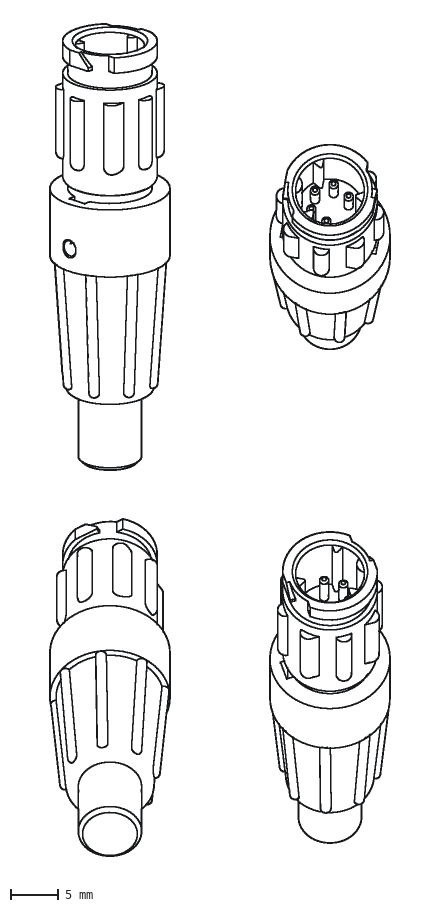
import cadquery as cq
import math


CABLE_CHAMFER = 0.45
SLEEVE_BOTTOM_Z = 8.0
SLEEVE_RIB_END_Z = 9.4
COLLAR_BOTTOM_Z = 23.2
TAPER_TOP_Z = 25.75
COLLAR_TOP_Z = 30.8
HEAD_BOTTOM_Z = 31.7
HEAD_RIB_END_Z = 35.1
HEAD_RIB_TOP_Z = 42.35
HEAD_TOP_Z = 43.85
FLANGE_BOTTOM_Z = 45.75
TOP_Z = 47.5

CABLE_RADIUS = 3.35
NECK_RADIUS = 4.45
TAPER_HALF_ANGLE = 30
HEAD_RADIUS = 5.0
HEAD_FILLET = 0.55

COLLAR_RADIUS = 6.35
CONE_TOP_RADIUS = 5.7
CONE_BOTTOM_RADIUS = 4.65
CONE_FILLET = 0.45
SLEEVE_RIB_COUNT = 8
SLEEVE_RIB_RADIUS = 0.57
RIB_AXIS_TOP_RADIUS = 5.75
RIB_AXIS_BOTTOM_RADIUS = 4.79
RIB_OVERLAP = 0.2
KEYWAY_WIDTH = 2.2
KEYWAY_REACH = 5.13
SCREW_HOLE_RADIUS = 0.85
SCREW_HOLE_MOUTH_RADIUS = 1.0
SCREW_HOLE_Z = TAPER_TOP_Z

HEAD_RIB_RADIUS = 0.85
HEAD_RIB_REACH = 5.75
HEAD_RIB_AXIS = HEAD_RIB_REACH - HEAD_RIB_RADIUS
STRAIGHT_ANGLES = (0, 90, 180, 270)
DIAGONAL_ANGLES = (45, 135, 225, 315)

FLANGE_FLAT_Y = 4.83
BAYONET_WALL_Y = 3.35
BAYONET_RAMP = 1.37

SOCKET_RADIUS = 3.63
SOCKET_MOUTH_RADIUS = 3.98
SOCKET_CHAMFER = 0.45
SOCKET_DEPTH = 8.0
SOCKET_FLOOR_Z = TOP_Z - SOCKET_DEPTH
KEY_TOP_Z = TOP_Z - SOCKET_CHAMFER
KEY_OVERLAP = 0.1
KEY_ANGLES = (90, 210, 330)
KEY_TIP_REACH = 2.77
KEY_TIP_RADIUS = 0.2
KEY_HALF_ANGLE = 30
WIDE_KEY_RADIUS = 1.05
WIDE_KEY_AXIS = 4.06

PIN_RADIUS = 0.48
PIN_CHAMFER = 0.25
PIN_LENGTH = 3.5
PIN_CIRCLE_RADIUS = 2.08
PIN_ANGLES = (0, 120, 180, 240, 300)


def cylinder(radius, bottom_z, top_z, x=0.0, y=0.0):
    return cq.Workplane("XY", origin=(x, y, bottom_z)).circle(radius).extrude(top_z - bottom_z)


def box(x_min, x_max, y_min, y_max, bottom_z, top_z):
    size = (x_max - x_min, y_max - y_min, top_z - bottom_z)
    return cq.Workplane("XY").box(*size, centered=False).translate((x_min, y_min, bottom_z))


def turned(shape, angle):
    return shape.rotate((0, 0, 0), (0, 0, 1), angle)


def polar(radius, angle):
    return radius * math.cos(math.radians(angle)), radius * math.sin(math.radians(angle))



def core_shaft():
    """Cable stub widening through a taper into the neck, up to the top rim."""
    taper_height = (NECK_RADIUS - CABLE_RADIUS) / math.tan(math.radians(TAPER_HALF_ANGLE))
    return (
        cq.Workplane("XZ")
        .moveTo(0, 0)
        .lineTo(CABLE_RADIUS - CABLE_CHAMFER, 0)
        .lineTo(CABLE_RADIUS, CABLE_CHAMFER)
        .lineTo(CABLE_RADIUS, TAPER_TOP_Z - taper_height)
        .lineTo(NECK_RADIUS, TAPER_TOP_Z)
        .lineTo(NECK_RADIUS, TOP_Z)
        .lineTo(0, TOP_Z)
        .close()
        .revolve(360, (0, 0, 0), (0, 1, 0))
    )


def round_rib():
    """Half-round rib on the +X side with a ball-shaped lower end."""
    bar = cylinder(HEAD_RIB_RADIUS, HEAD_RIB_END_Z, HEAD_RIB_TOP_Z, x=HEAD_RIB_AXIS)
    ball = cq.Workplane("XY").sphere(HEAD_RIB_RADIUS).translate((HEAD_RIB_AXIS, 0, HEAD_RIB_END_Z))
    return bar.union(ball)


def rib_flank(angle):
    """Block that carries a diagonal rib's outer flank straight along Y into the head."""
    x, y = polar(HEAD_RIB_AXIS, angle)
    y_inner = y - math.copysign(HEAD_RIB_AXIS / 2, y)
    y_min = min(y, y_inner)
    y_max = max(y, y_inner)
    block = box(x - HEAD_RIB_RADIUS, x + HEAD_RIB_RADIUS, y_min, y_max, HEAD_RIB_END_Z, HEAD_RIB_TOP_Z)
    round_end = (
        cq.Workplane("XZ", origin=(x, y_max, HEAD_RIB_END_Z))
        .circle(HEAD_RIB_RADIUS)
        .extrude(y_max - y_min)
    )
    return block.union(round_end)


def plug_head():
    head = cylinder(HEAD_RADIUS, HEAD_BOTTOM_Z, HEAD_TOP_Z).faces("<Z").edges().fillet(HEAD_FILLET)
    for angle in STRAIGHT_ANGLES:
        head = head.union(turned(round_rib(), angle))
    for angle in DIAGONAL_ANGLES:
        head = head.union(turned(round_rib(), angle))
        head = head.union(rib_flank(angle))
    return head


def bayonet_flange():
    """Top flange with a flat and a ramped bayonet opening on each Y side."""
    flange = cylinder(HEAD_RADIUS, FLANGE_BOTTOM_Z, TOP_Z)
    flange = flange.intersect(
        box(-HEAD_RADIUS, HEAD_RADIUS, -FLANGE_FLAT_Y, FLANGE_FLAT_Y, FLANGE_BOTTOM_Z, TOP_Z)
    )
    opening = (
        cq.Workplane("XZ", origin=(0, -BAYONET_WALL_Y, 0))
        .moveTo(0, TOP_Z)
        .lineTo(BAYONET_RAMP, TOP_Z - BAYONET_RAMP)
        .lineTo(BAYONET_RAMP, FLANGE_BOTTOM_Z)
        .lineTo(HEAD_RADIUS, FLANGE_BOTTOM_Z)
        .lineTo(HEAD_RADIUS, TOP_Z)
        .close()
        .extrude(HEAD_RADIUS - BAYONET_WALL_Y)
    )
    return flange.cut(opening).cut(turned(opening, 180))


def socket():
    bore = cylinder(SOCKET_RADIUS, SOCKET_FLOOR_Z, TOP_Z)
    mouth = (
        cq.Workplane("XY", origin=(0, 0, KEY_TOP_Z))
        .circle(SOCKET_RADIUS)
        .workplane(offset=SOCKET_CHAMFER)
        .circle(SOCKET_MOUTH_RADIUS)
        .loft()
    )
    return bore.union(mouth)


def socket_keys():
    """Three wedge-shaped keys with rounded tips and one wide key along the socket wall."""
    wall_radius = SOCKET_RADIUS + KEY_OVERLAP
    sharp_tip = KEY_TIP_REACH + KEY_TIP_RADIUS - KEY_TIP_RADIUS / math.sin(math.radians(KEY_HALF_ANGLE))
    half_width = (wall_radius - sharp_tip) * math.tan(math.radians(KEY_HALF_ANGLE))
    wedge_key = (
        cq.Workplane("XY", origin=(0, 0, SOCKET_FLOOR_Z))
        .moveTo(sharp_tip, 0)
        .lineTo(wall_radius, -half_width)
        .lineTo(wall_radius, half_width)
        .close()
        .extrude(KEY_TOP_Z - SOCKET_FLOOR_Z)
        .edges("|Z and <X")
        .fillet(KEY_TIP_RADIUS)
    )
    keys = cylinder(WIDE_KEY_RADIUS, SOCKET_FLOOR_Z, KEY_TOP_Z, y=-WIDE_KEY_AXIS)
    for angle in KEY_ANGLES:
        keys = keys.union(turned(wedge_key, angle))
    return keys.intersect(cylinder(wall_radius, SOCKET_FLOOR_Z, KEY_TOP_Z))


def contact_pin(angle):
    x, y = polar(PIN_CIRCLE_RADIUS, angle)
    pin = cylinder(PIN_RADIUS, SOCKET_FLOOR_Z, SOCKET_FLOOR_Z + PIN_LENGTH, x, y)
    return pin.faces(">Z").chamfer(PIN_CHAMFER)


def plug_core():
    core = core_shaft().union(plug_head()).union(bayonet_flange())
    core = core.cut(socket()).union(socket_keys())
    for angle in PIN_ANGLES:
        core = core.union(contact_pin(angle))
    return core



def sleeve_rib():
    """Round bar leaning along the cone on the +X side, with a ball-shaped lower end."""
    bottom = cq.Vector(RIB_AXIS_BOTTOM_RADIUS, 0, SLEEVE_RIB_END_Z)
    top = cq.Vector(RIB_AXIS_TOP_RADIUS, 0, COLLAR_BOTTOM_Z)
    axis = top - bottom
    length = axis.Length + RIB_OVERLAP
    bar = cq.Workplane(cq.Solid.makeCylinder(SLEEVE_RIB_RADIUS, length, bottom, axis))
    ball = cq.Workplane("XY").sphere(SLEEVE_RIB_RADIUS).translate(bottom.toTuple())
    return bar.union(ball)


def ribbed_cone():
    cone = (
        cq.Workplane("XY", origin=(0, 0, SLEEVE_BOTTOM_Z))
        .circle(CONE_BOTTOM_RADIUS)
        .workplane(offset=COLLAR_BOTTOM_Z - SLEEVE_BOTTOM_Z)
        .circle(CONE_TOP_RADIUS)
        .loft()
        .faces("<Z")
        .edges()
        .fillet(CONE_FILLET)
    )
    pitch = 360 / SLEEVE_RIB_COUNT
    for index in range(SLEEVE_RIB_COUNT):
        cone = cone.union(turned(sleeve_rib(), (index + 0.5) * pitch))
    return cone


def keyways():
    """Two keyways beside the neck, on the Y sides of the collar."""
    half_width = KEYWAY_WIDTH / 2
    return box(-half_width, half_width, -KEYWAY_REACH, KEYWAY_REACH, TAPER_TOP_Z, COLLAR_TOP_Z)


def screw_hole():
    """Radial hole through the -Y collar wall with a chamfered mouth."""
    hole = (
        cq.Workplane("XZ", origin=(0, 0, SCREW_HOLE_Z))
        .circle(SCREW_HOLE_RADIUS)
        .extrude(COLLAR_RADIUS)
    )
    mouth_depth = SCREW_HOLE_MOUTH_RADIUS - SCREW_HOLE_RADIUS
    mouth = (
        cq.Workplane("XZ", origin=(0, mouth_depth - COLLAR_RADIUS, SCREW_HOLE_Z))
        .circle(SCREW_HOLE_RADIUS)
        .workplane(offset=mouth_depth)
        .circle(SCREW_HOLE_MOUTH_RADIUS)
        .loft()
    )
    return hole.union(mouth)


def cable_sleeve():
    collar = cylinder(COLLAR_RADIUS, COLLAR_BOTTOM_Z, COLLAR_TOP_Z)
    sleeve = collar.union(ribbed_cone())
    return sleeve.cut(keyways()).cut(screw_hole()).cut(core_shaft())


core = plug_core()
sleeve = cable_sleeve()

result = cq.Compound.makeCompound([core.val(), sleeve.val()])